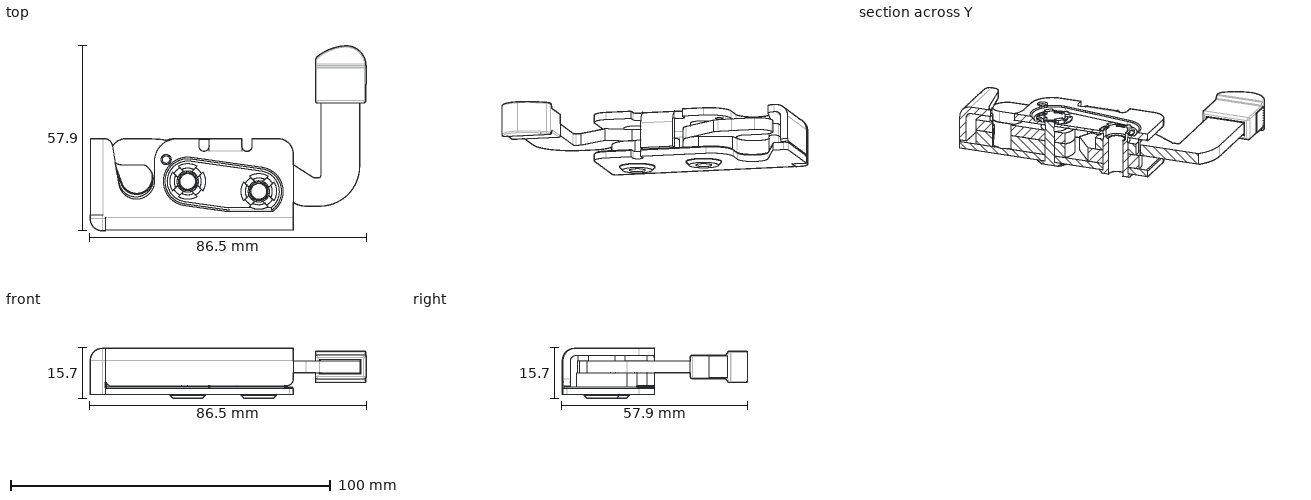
import cadquery as cq
import math


sheet = 2.3
right_x = 63.55
back_y = 28.9
cover_left = 0.1
cover_front = 0.3
plate_bottom = 1.1
plate_top = plate_bottom + sheet
flange_bottom = 3.9
cover_top = 15.65
cover_underside = cover_top - sheet
bend_radius = 3.9
outer_bends = "(<X and <Y) or (<X and >Z) or (<Y and >Z)"

post_x = 4.75
post_y = 5.0

hook_pivot = (30.5, 15.5)
lever_pivot = (52.7, 12.4)
bushing_bore = 4.9
shank_diameter = 8.4
head_diameter = 11.15

lever_bottom = 7.95
lever_top = 11.7
lever_mid = (lever_bottom + lever_top) / 2

recess_depth = 1.3
top_corner = 4.8
recess_floor = cover_top - recess_depth

notch_width = 3.1
notch_front = 24.9
left_notch_x = 35.6
right_notch_x = 49.0


def block(x0, x1, y0, y1, z0, z1):
    return cq.Workplane("XY").box(x1 - x0, y1 - y0, z1 - z0, centered=False).translate((x0, y0, z0))


def cylinder(center, diameter, z0, z1):
    return cq.Workplane("XY", origin=(*center, z0)).circle(diameter / 2).extrude(z1 - z0)


def notch(center_x):
    """Round-ended notch through the back edge."""
    radius = notch_width / 2
    round_y = notch_front + radius
    end = cylinder((center_x, round_y), notch_width, 0, cover_top)
    return end.union(block(center_x - radius, center_x + radius, round_y, back_y, 0, cover_top))


slot_center = (14.5, 15.6)
slot_radius = 5.6
flare_radius = 7.1
slot_lean = math.radians(9.2)


def striker_slot():
    """Entry slot: round bottom, leaning left edge, flared mouth."""
    cx, cy = slot_center
    tangent = (cx - slot_radius * math.cos(slot_lean), cy - slot_radius * math.sin(slot_lean))
    shoulder_y = 26.8
    shoulder_x = tangent[0] - (shoulder_y - tangent[1]) * math.tan(slot_lean)
    return (
        cq.Workplane("XY")
        .moveTo(4.5, back_y)
        .threePointArc((6.2, 28.2), (shoulder_x, shoulder_y))
        .lineTo(*tangent)
        .threePointArc((cx, cy - slot_radius), (cx + slot_radius, cy))
        .lineTo(cx + slot_radius, back_y - flare_radius)
        .radiusArc((cx + slot_radius + flare_radius, back_y), flare_radius)
        .close()
        .extrude(cover_top)
    )


def recess_outline(plane, radius, flat_drop):
    """Wire around both pivots, with a flat front side below the lever pivot."""
    (ax, ay), (bx, by) = hook_pivot, lever_pivot
    span = math.hypot(bx - ax, by - ay)
    ux, uy = (bx - ax) / span, (by - ay) / span
    flat_y = by - flat_drop
    lower_start = (ax + uy * radius, ay - ux * radius)
    flat_start_x = lower_start[0] + (flat_y - lower_start[1]) * ux / uy
    flat_end_x = bx + math.sqrt(radius**2 - flat_drop**2)
    return (
        plane
        .moveTo(ax - uy * radius, ay + ux * radius)
        .lineTo(bx - uy * radius, by + ux * radius)
        .threePointArc((bx + ux * radius, by + uy * radius), (flat_end_x, flat_y))
        .lineTo(flat_start_x, flat_y)
        .lineTo(*lower_start)
        .threePointArc((ax - ux * radius, ay - uy * radius), (ax - uy * radius, ay + ux * radius))
        .close()
    )


def recess():
    """Shallow recess around the two bushings: steep wall below a flatter rim."""
    rim_depth = 0.3
    floor = (recess_floor, 6.4, 5.1)
    rim_inside = (cover_top - rim_depth, 7.1, 5.9)
    rim_outside = (cover_top, 7.6, 6.2)

    def taper(lower, upper):
        (z0, *lower_size), (z1, *upper_size) = lower, upper
        bottom = recess_outline(cq.Workplane("XY", origin=(0, 0, z0)), *lower_size)
        return recess_outline(bottom.workplane(offset=z1 - z0), *upper_size).loft(ruled=True)

    return taper(floor, rim_inside).union(taper(rim_inside, rim_outside))


def make_cover():
    outer = block(cover_left, right_x, cover_front, back_y, flange_bottom, cover_top)
    outer = outer.edges(outer_bends).fillet(bend_radius)

    inner_bend = bend_radius - sheet
    cavity = block(cover_left + sheet, right_x + sheet, cover_front + sheet, back_y + sheet, 0, cover_underside)
    cavity = cavity.edges(outer_bends).fillet(inner_bend)
    cover = outer.cut(cavity)

    front_flange_corner = 2.2
    side_flange_clip = 0.7
    cover = cover.edges("|Z and >X and >Y").fillet(top_corner)
    cover = cover.edges("|Y and >X and <Z").fillet(front_flange_corner)
    cover = cover.edges("|X and <Z and >Y").chamfer(side_flange_clip)

    tab_x0 = left_notch_x + notch_width / 2
    tab_x1 = right_notch_x - notch_width / 2
    bend = block(tab_x0, tab_x1, notch_front, back_y, flange_bottom, cover_top)
    bend = bend.edges(">Y and >Z").fillet(bend_radius)
    bend = bend.cut(block(tab_x0, tab_x1, notch_front, back_y - sheet, flange_bottom, cover_underside))
    cover = cover.cut(block(tab_x0, tab_x1, notch_front, back_y, flange_bottom, cover_top)).union(bend)
    for x in (left_notch_x, right_notch_x):
        cover = cover.cut(notch(x))

    post_clip = 1.2
    clip = (
        cq.Workplane("XZ", origin=(0, cover_front + sheet, 0))
        .polyline([(post_x, flange_bottom), (post_x + post_clip, flange_bottom), (post_x, flange_bottom + post_clip)])
        .close()
        .extrude(sheet)
    )
    post = block(0, post_x, 0, post_y, plate_bottom, cover_top)
    post = post.edges(outer_bends).fillet(bend_radius)
    cover = cover.cut(clip).union(post)

    cover = cover.cut(striker_slot()).cut(recess())

    small_hole = (23.8, 22.3)
    small_hole_diameter = 2.3
    countersink = 0.4
    cover = cover.cut(cylinder(small_hole, small_hole_diameter, cover_underside, cover_top))
    cone = cylinder(small_hole, small_hole_diameter + 2 * countersink, cover_top - countersink, cover_top)
    cover = cover.cut(cone.faces("<Z").chamfer(countersink * 0.99))

    for pivot in (hook_pivot, lever_pivot):
        cover = cover.cut(cylinder(pivot, shank_diameter, cover_underside, cover_top))
        cover = cover.cut(cylinder(pivot, head_diameter, recess_floor, cover_top))
    return cover


plate_slot_center = (slot_center[0], 16.6)
plate_slot_radius = 4.8


def plate_slot():
    """Wedge slot below the cover slot: leaning left edge, flared right mouth."""
    cx, cy = plate_slot_center
    radius = plate_slot_radius
    lean = math.radians(20)
    tangent = (cx - radius * math.cos(lean), cy - radius * math.sin(lean))
    return (
        cq.Workplane("XY")
        .moveTo(tangent[0] - (back_y - tangent[1]) * math.tan(lean), back_y)
        .lineTo(*tangent)
        .threePointArc((cx, cy - radius), (cx + radius, cy))
        .lineTo(cx + radius, back_y - flare_radius)
        .radiusArc((cx + radius + flare_radius, back_y), flare_radius)
        .close()
        .extrude(plate_top)
    )


def make_plate():
    corner_radius = 1.3
    slot_chamfer = 0.35
    plate = block(cover_left, right_x, cover_front, back_y, plate_bottom, plate_top)
    plate = plate.edges("|Z and >X and >Y").fillet(top_corner)
    plate = plate.edges("|Z and ((<X and >Y) or (>X and <Y))").fillet(corner_radius)
    plate = plate.cut(plate_slot())
    x, y = plate_slot_center
    slot_rim = cq.selectors.BoxSelector((x - 6.9, y - 6.9, plate_top - 0.1), (x + 6.05, y + 0.9, plate_top + 0.1))
    plate = plate.edges(slot_rim).chamfer(slot_chamfer)
    plate = plate.cut(notch(right_notch_x))
    plate = plate.cut(block(0, post_x, 0, post_y, plate_bottom, plate_top))
    for pivot in (hook_pivot, lever_pivot):
        plate = plate.cut(cylinder(pivot, shank_diameter, plate_bottom, plate_top))
    return plate


hub_radius = 6.5
throat_end = (9.1, 17.0)
throat_bottom = (14.35, 10.6)


def add_jaw(outline):
    """Continue an outline around the right of the hub and along the jaw to the throat."""
    px, py = hook_pivot
    return (
        outline
        .threePointArc((px + hub_radius, py), (px, py - hub_radius))
        .lineTo(28.5, 4.75)
        .lineTo(5.2, 6.05)
        .lineTo(6.05, 17.1)
        .threePointArc((7.6, 18.3), throat_end)
    )


def make_hook():
    px, py = hook_pivot
    diagonal = hub_radius * math.sqrt(0.5)
    outline = (
        cq.Workplane("XY", origin=(0, 0, lever_bottom))
        .moveTo(10.7, back_y)
        .lineTo(18.15, back_y)
        .lineTo(22.6, 28.6)
        .lineTo(24.2, 28.2)
        .lineTo(px + diagonal, py + diagonal)
    )
    hook = (
        add_jaw(outline)
        .threePointArc(throat_bottom, (17.1, 20.6))
        .lineTo(9.9, 20.6)
        .threePointArc((8.0, 21.2), (6.2, 23.35))
        .lineTo(6.2, 24.6)
        .threePointArc((7.6, 27.3), (10.7, back_y))
        .close()
        .extrude(lever_top - lever_bottom)
    )
    return hook.cut(cylinder(hook_pivot, shank_diameter, lever_bottom, lever_top))


def make_catch():
    px, py = hook_pivot
    outline = cq.Workplane("XY", origin=(0, 0, plate_top)).moveTo(px, py + hub_radius)
    catch = (
        add_jaw(outline)
        .threePointArc(throat_bottom, (19.7, 16.0))
        .lineTo(20.3, 19.0)
        .close()
        .extrude(lever_bottom - plate_top)
    )
    return catch.cut(cylinder(hook_pivot, shank_diameter, plate_top, lever_bottom))


def make_pawl():
    hub_diameter = 15.9
    height = lever_bottom - plate_top
    arm = (
        cq.Workplane("XY", origin=(0, 0, plate_top))
        .polyline([(46.5, 7.5), (37.5, 19.0), (39.8, 23.35), (52.7, 19.9), lever_pivot])
        .close()
        .extrude(height)
    )
    hub = cylinder(lever_pivot, hub_diameter, plate_top, lever_bottom)
    return hub.union(arm).cut(cylinder(lever_pivot, shank_diameter, plate_top, lever_bottom))


lever_left = 72.1
lever_right = 84.3
lever_end = 48.4


def make_lever():
    lever_hub_radius = 6.9
    lower_y = 7.7
    outer_bend = 12.5
    heel = 7.4
    heel_x = 67.5
    throat_radius = 0.7
    px, py = lever_pivot
    throat_y = 16.7
    bar = (
        cq.Workplane("XY", origin=(0, 0, lever_bottom))
        .moveTo(px, py + lever_hub_radius)
        .lineTo(60.5, 22.65)
        .lineTo(69.9, throat_y)
        .lineTo(lever_left - throat_radius, throat_y)
        .radiusArc((lever_left, throat_y + throat_radius), -throat_radius)
        .lineTo(lever_left, lever_end)
        .lineTo(lever_right, lever_end)
        .lineTo(lever_right, lower_y + outer_bend)
        .radiusArc((lever_right - outer_bend, lower_y), outer_bend)
        .lineTo(heel_x, lower_y)
        .radiusArc((heel_x - heel, lower_y + heel), heel)
        .lineTo(px, py)
        .close()
        .extrude(lever_top - lever_bottom)
    )
    hub = cylinder(lever_pivot, 2 * lever_hub_radius, lever_bottom, lever_top)
    return hub.union(bar).cut(cylinder(lever_pivot, shank_diameter, lever_bottom, lever_top))


def make_grip():
    left, right = 70.4, 86.2
    front = 39.95
    body_back = 51.1
    head_front = 51.9
    body_half = 3.7
    head_half = 4.9
    edge = 0.4
    front_edge = 0.8

    crown_y = 52.65
    plan = (
        cq.Workplane("XY")
        .moveTo(left, front)
        .lineTo(left, crown_y)
        .threePointArc((70.55, 53.9), (71.2, 54.7))
        .threePointArc((75.3, 57.0), (79.9, 57.9))
        .threePointArc((84.2, 56.3), (right, crown_y))
        .lineTo(right, front)
        .close()
        .extrude(cover_top)
    )
    head_back = 58.4
    profile = (
        cq.Workplane("YZ", origin=(left, 0, lever_mid))
        .moveTo(front, -body_half)
        .lineTo(body_back, -body_half)
        .lineTo(head_front, -head_half)
        .lineTo(head_back, -head_half)
        .lineTo(head_back, head_half)
        .lineTo(head_front, head_half)
        .lineTo(body_back, body_half)
        .lineTo(front, body_half)
        .close()
        .extrude(right - left)
    )
    grip = plan.intersect(profile)
    grip = grip.edges("not <Y").fillet(edge)
    grip = grip.faces("<Y").edges().fillet(front_edge)

    pad_half = 3.4
    grip = grip.union(block(right - edge, 86.5, 45.9, 51.7, lever_mid - pad_half, lever_mid + pad_half))

    socket = block(lever_left, lever_right, front, lever_end, lever_bottom, lever_top)
    mouth = block(lever_left - edge, lever_right + edge, front, front + edge, lever_bottom - edge, lever_top + edge)
    mouth = mouth.faces(">Y").chamfer(edge * 0.99)
    return grip.cut(socket).cut(mouth)


def diagonal_bars(pivot, length, width, z0, z1):
    """Two crossed bars at 45 degrees to the sides of the latch."""
    bar = cq.Workplane("XY", origin=(*pivot, z0)).rect(length, width).extrude(z1 - z0)
    axis = ((*pivot, 0), (*pivot, 1))
    return bar.rotate(*axis, 45).union(bar.rotate(*axis, -45))


def make_bushing(pivot):
    head_chamfer = 0.95
    collar_top = recess_floor + 0.3
    ring_top = recess_floor + 0.5
    tab_top = recess_floor + 1.2
    tab_width = 2.6
    tab_diameter = 9.85
    upper_bore = 6.7
    upper_bore_depth = 3.5
    bore_chamfer = 0.4

    bushing = cylinder(pivot, head_diameter, 0, plate_bottom).faces("<Z").chamfer(head_chamfer)
    bushing = bushing.union(cylinder(pivot, shank_diameter, plate_bottom, ring_top))

    bars = diagonal_bars(pivot, head_diameter, tab_width, recess_floor, tab_top)
    collar = cylinder(pivot, head_diameter, recess_floor, collar_top).cut(bars)
    tabs = bars.intersect(cylinder(pivot, tab_diameter, recess_floor, tab_top))
    bushing = bushing.union(collar).union(tabs)

    bore_floor = tab_top - upper_bore_depth
    bore = cylinder(pivot, upper_bore, bore_floor, tab_top).faces("<Z").chamfer(bore_chamfer)
    return bushing.cut(bore).cut(cylinder(pivot, bushing_bore, 0, tab_top))


cover = make_cover()
plate = make_plate()
hook = make_hook()
catch = make_catch()
pawl = make_pawl()
lever = make_lever()
grip = make_grip()
bushings = [make_bushing(pivot) for pivot in (hook_pivot, lever_pivot)]

result = cq.Compound.makeCompound(
    [cover.val(), plate.val(), hook.val(), catch.val(), pawl.val(), lever.val(), grip.val()]
    + [bushing.val() for bushing in bushings]
)